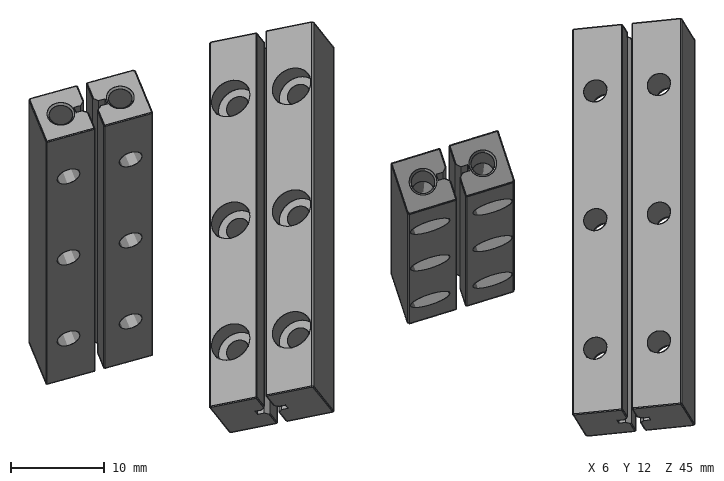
import cadquery as cq

RAIL_WIDTH = 6.0
RAIL_DEPTH = 5.5
RAIL_LENGTH = 45.0
GAP = 1.0
EDGE_CHAMFER = 0.1
COUNTERBORE_EDGE_CHAMFER = 0.2

GROOVE_WIDTH = 0.7
GROOVE_DEPTH = 1.25
LIP_FLARE = 0.5

SCREW_OFFSET = 3.5
SCREW_PITCH = 15.0
SCREW_COUNT = 3
SCREW_DIAMETER = 2.55
HEAD_DIAMETER = 4.4
HEAD_DEPTH = 2.0

END_HOLE_OFFSET = 3.35
END_HOLE_DIAMETER = 2.5
END_HOLE_DEPTH = 4.5
END_HOLE_MOUTH_DIAMETER = 2.95
DRILL_POINT_HEIGHT = 1.25

INNER_FACE = GAP / 2
OUTER_FACE = INNER_FACE + RAIL_DEPTH
HALF_WIDTH = RAIL_WIDTH / 2
HALF_LENGTH = RAIL_LENGTH / 2


def make_groove():
    half_groove = GROOVE_WIDTH / 2
    half_mouth = half_groove + LIP_FLARE
    lip_end = INNER_FACE + LIP_FLARE
    groove_floor = INNER_FACE + GROOVE_DEPTH
    return (
        cq.Workplane("XY", origin=(0, 0, -HALF_LENGTH))
        .moveTo(-half_mouth, INNER_FACE)
        .lineTo(-half_groove, lip_end)
        .lineTo(-half_groove, groove_floor)
        .lineTo(half_groove, groove_floor)
        .lineTo(half_groove, lip_end)
        .lineTo(half_mouth, INNER_FACE)
        .close()
        .extrude(RAIL_LENGTH)
    )


def make_screw_hole(height):
    entry = cq.Workplane("YZ", origin=(-HALF_WIDTH, SCREW_OFFSET, height))
    shank = entry.circle(SCREW_DIAMETER / 2).extrude(RAIL_WIDTH)
    head = entry.circle(HEAD_DIAMETER / 2).extrude(HEAD_DEPTH)
    return shank.union(head)


def make_end_hole():
    radius = END_HOLE_DIAMETER / 2
    mouth_radius = END_HOLE_MOUTH_DIAMETER / 2
    mouth_depth = mouth_radius - radius
    return (
        cq.Workplane("XZ", origin=(0, END_HOLE_OFFSET, HALF_LENGTH))
        .moveTo(0, 0)
        .lineTo(mouth_radius, 0)
        .lineTo(radius, -mouth_depth)
        .lineTo(radius, -END_HOLE_DEPTH)
        .lineTo(0, -END_HOLE_DEPTH - DRILL_POINT_HEIGHT)
        .close()
        .revolve(360, (0, 0, 0), (0, 1, 0))
    )


def make_blank():
    """Chamfered bar on the +Y side of the gap."""
    bar = (
        cq.Workplane("XY")
        .box(RAIL_WIDTH, RAIL_DEPTH, RAIL_LENGTH)
        .translate((0, (INNER_FACE + OUTER_FACE) / 2, 0))
    )
    bar = bar.faces("<X").edges(">Y").chamfer(COUNTERBORE_EDGE_CHAMFER)
    bar = bar.edges("(|Z and >X) or (|Z and <Y)").chamfer(EDGE_CHAMFER)
    return bar.faces("<Z or >Z").chamfer(EDGE_CHAMFER)


def make_rail():
    """Rail on the +Y side of the gap."""
    rail = make_blank()
    rail = rail.cut(make_groove()).cut(make_end_hole())
    for index in range(SCREW_COUNT):
        height = (index - (SCREW_COUNT - 1) / 2) * SCREW_PITCH
        rail = rail.cut(make_screw_hole(height))
    return rail


rear_rail = make_rail()
front_rail = rear_rail.mirror("XZ")

result = cq.Compound.makeCompound([rear_rail.val(), front_rail.val()])